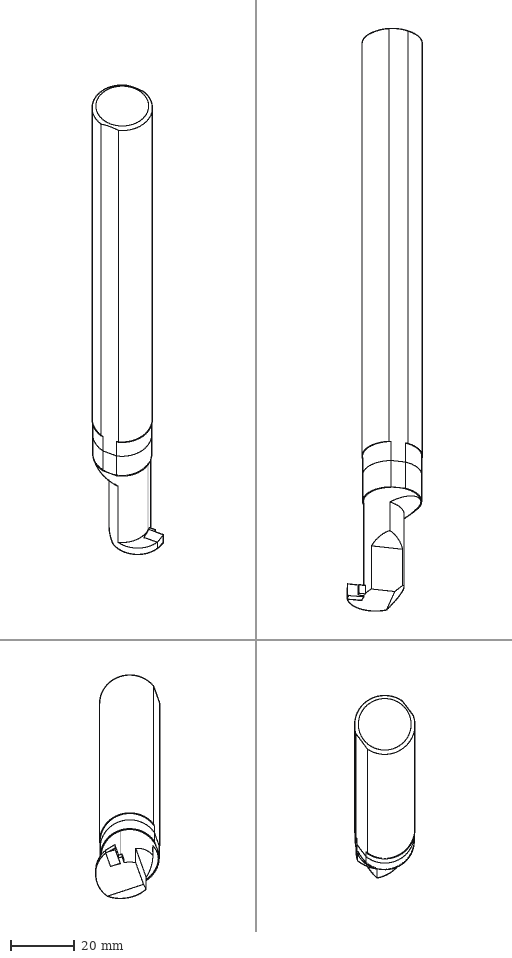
import cadquery as cq
import math

total_length = 203.2
total_width = 24.0

shank_diameter = 19.0
collar_diameter = 18.7
width_over_flats = 18.0
shank_bottom = 52.5
joint_height = 45.5
collar_bottom = 36.0
end_chamfer_height = 0.8
end_chamfer_inset = 1.2

neck_diameter = 18.0
neck_radius = neck_diameter / 2
reach = total_width - shank_diameter / 2
cutting_axis_x = reach - neck_radius
runout_height = cutting_axis_x
runout_bottom = collar_bottom - runout_height

tip_width = 4.3
tip_depth = 3.3
tip_inner_x = 9.1
tip_nose_radius = 0.5
tip_dish = 0.2
clearance_angle = 10.0
clearance = tip_depth * math.tan(math.radians(clearance_angle))

flange_bottom = clearance
flange_top = tip_width - clearance
flange_back_y = 1.2
chip_wall_x = 11.0

back_flat_y = 4.7
back_flat_top = 16.3
foot_bevel = 3.9

margin = 20.3


def block(x_min, x_max, y_min, y_max, z_min, z_max):
    """Box between the given limits."""
    size = (x_max - x_min, y_max - y_min, z_max - z_min)
    return cq.Workplane("XY").box(*size, centered=False).translate((x_min, y_min, z_min))


def rod(diameter, bottom, top, axis_x=0.0):
    """Upright cylinder."""
    return cq.Workplane("XY", origin=(axis_x, 0, bottom)).circle(diameter / 2).extrude(top - bottom)


def flatted_rod(diameter, bottom, top):
    """Upright cylinder on the shank axis with a flat on the front and on the back."""
    half = width_over_flats / 2
    return rod(diameter, bottom, top).intersect(block(-margin, margin, -half, half, bottom, top))


def end_chamfer_envelope():
    """Solid of revolution that bevels the upper end of the shank."""
    radius = shank_diameter / 2
    return (
        cq.Workplane("XZ")
        .moveTo(0, shank_bottom)
        .lineTo(radius, shank_bottom)
        .lineTo(radius, total_length - end_chamfer_height)
        .lineTo(radius - end_chamfer_inset, total_length)
        .lineTo(0, total_length)
        .close()
        .revolve(360, (0, 0, 0), (0, 1, 0))
    )


def make_shank():
    """Shank with a bevelled upper end and a slightly thinner collar at its lower end."""
    shank = flatted_rod(shank_diameter, shank_bottom, total_length).intersect(end_chamfer_envelope())
    return shank.union(flatted_rod(collar_diameter, joint_height, shank_bottom))


def make_neck():
    """Eccentric neck that flares into the collar along a 45 degree cone about the cutting axis."""
    flared_envelope = (
        cq.Workplane("XZ", origin=(cutting_axis_x, 0, 0))
        .moveTo(0, flange_bottom)
        .lineTo(neck_radius, flange_bottom)
        .lineTo(neck_radius, runout_bottom)
        .lineTo(neck_radius + runout_height, collar_bottom)
        .lineTo(0, collar_bottom)
        .close()
        .revolve(360, (0, 0, 0), (0, 1, 0))
    )
    return rod(neck_diameter, flange_bottom, collar_bottom).intersect(flared_envelope)


def make_flange():
    """Disc segment about the cutting axis, with the seat of the tip and the chip space removed."""
    flange = rod(neck_diameter, flange_bottom, flange_top, cutting_axis_x)
    behind_flange = block(-margin, margin, flange_back_y, margin, 0, tip_width)
    tip_seat = block(tip_inner_x, margin, -tip_depth, 0, 0, tip_width)
    chip_space = block(chip_wall_x, margin, 0, margin, 0, tip_width)
    return flange.cut(behind_flange).cut(tip_seat).cut(chip_space)


def back_relief():
    """Cutter for the flat behind the lower neck and the 45 degree slope above it."""
    slope_top = back_flat_top + margin - back_flat_y
    return (
        cq.Workplane("YZ", origin=(-margin, 0, 0))
        .moveTo(back_flat_y, 0)
        .lineTo(back_flat_y, back_flat_top)
        .lineTo(margin, slope_top)
        .lineTo(margin, 0)
        .close()
        .extrude(2 * margin)
    )


def foot_bevel_cutter():
    """Cutter for the 45 degree bevel at the foot of the neck, opposite the tip."""
    neck_left = cutting_axis_x - neck_radius
    return (
        cq.Workplane("XZ", origin=(0, margin, 0))
        .moveTo(neck_left, flange_bottom)
        .lineTo(neck_left + foot_bevel, flange_bottom)
        .lineTo(neck_left, flange_bottom + foot_bevel)
        .close()
        .extrude(2 * margin)
    )


def make_head():
    """Collar piece, neck and flange in one solid."""
    head = flatted_rod(collar_diameter, collar_bottom, joint_height).union(make_neck())
    head = head.cut(back_relief())
    return head.union(make_flange()).cut(foot_bevel_cutter())


def make_tip():
    """Cutting tip with a rounded lower corner and a lower edge that rises towards the neck."""
    root_x = tip_inner_x - 2 * clearance
    tapered = (
        cq.Workplane("XZ")
        .moveTo(root_x, tip_dish)
        .lineTo(reach - tip_nose_radius, 0)
        .radiusArc((reach, tip_nose_radius), -tip_nose_radius)
        .lineTo(reach, tip_width)
        .lineTo(root_x, tip_width)
        .close()
        .extrude(tip_depth, taper=clearance_angle)
    )
    return tapered.intersect(block(tip_inner_x, reach, -tip_depth, 0, 0, tip_width))


shank = make_shank()
head = make_head()
tip = make_tip()

result = cq.Compound.makeCompound([shank.val(), head.val(), tip.val()])